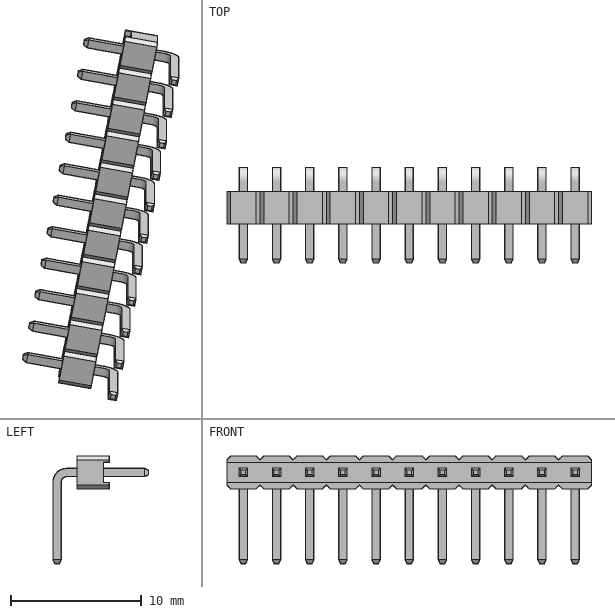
import cadquery as cq

PIN_COUNT = 11
PITCH = 2.54

BLOCK_LENGTH = PIN_COUNT * PITCH
BLOCK_DEPTH = 2.5
BLOCK_HEIGHT = 2.54
BEVEL = 0.3
LIP_HEIGHT = 0.5
CHANNEL_DEPTH = 0.45
CHANNEL_HEIGHT = BLOCK_HEIGHT - 2 * LIP_HEIGHT

OVERALL_DEPTH = 7.33
OVERALL_HEIGHT = 8.27
PIN_SIZE = 0.65
TIP_SIZE = 0.35
TIP_LENGTH = 0.32
BEND_OUTER_RADIUS = 1.08
BACK_REACH = 1.83

BEND_MID_RADIUS = BEND_OUTER_RADIUS - PIN_SIZE / 2
LEG_Y = BLOCK_DEPTH + BACK_REACH - PIN_SIZE / 2
FRONT_TIP_Y = BLOCK_DEPTH + BACK_REACH - OVERALL_DEPTH
BOTTOM_TIP_Z = BLOCK_HEIGHT / 2 - OVERALL_HEIGHT


def make_segment():
    """One pitch of the block: an octagonal bar with all four long edges bevelled."""
    half_width = PITCH / 2
    half_height = BLOCK_HEIGHT / 2
    flat_x = half_width - BEVEL
    side_z = half_height - BEVEL
    outline = [
        (flat_x, half_height),
        (half_width, side_z),
        (half_width, -side_z),
        (flat_x, -half_height),
        (-flat_x, -half_height),
        (-half_width, -side_z),
        (-half_width, side_z),
        (-flat_x, half_height),
    ]
    return cq.Workplane("XZ").polyline(outline).close().extrude(-BLOCK_DEPTH)


def cut_front_channel(block):
    """Cut the shallow channel running the full length of the front face."""
    channel = cq.Workplane("XY").box(
        BLOCK_LENGTH, CHANNEL_DEPTH, CHANNEL_HEIGHT, centered=(True, False, True)
    )
    return block.cut(channel)


def make_tip(base_plane):
    """Square taper that starts full size on base_plane and narrows along its normal."""
    return (
        cq.Workplane(base_plane)
        .rect(PIN_SIZE, PIN_SIZE)
        .workplane(offset=TIP_LENGTH)
        .rect(TIP_SIZE, TIP_SIZE)
        .loft(ruled=True)
    )


def make_pin():
    """Square wire bent down behind the block, with a tapered tip at each end."""
    front_base_y = FRONT_TIP_Y + TIP_LENGTH
    bottom_base_z = BOTTOM_TIP_Z + TIP_LENGTH
    path = (
        cq.Workplane("YZ")
        .moveTo(front_base_y, 0)
        .lineTo(LEG_Y - BEND_MID_RADIUS, 0)
        .tangentArcPoint((LEG_Y, -BEND_MID_RADIUS), relative=False)
        .lineTo(LEG_Y, bottom_base_z)
    )
    front_plane = cq.Plane(origin=(0, front_base_y, 0), xDir=(1, 0, 0), normal=(0, -1, 0))
    bottom_plane = cq.Plane(origin=(0, LEG_Y, bottom_base_z), xDir=(1, 0, 0), normal=(0, 0, -1))
    wire = cq.Workplane(front_plane).rect(PIN_SIZE, PIN_SIZE).sweep(path)
    return wire.union(make_tip(front_plane)).union(make_tip(bottom_plane))


def repeat_along_row(shape):
    """Copy a shape once per pin position and join the copies."""
    first_x = -(PIN_COUNT - 1) * PITCH / 2
    positions = [(first_x + index * PITCH, 0, 0) for index in range(PIN_COUNT)]
    row = cq.Workplane("XY")
    for position in positions:
        row = row.add(shape.translate(position))
    return row.combine()


block = cut_front_channel(repeat_along_row(make_segment()))
result = block.union(repeat_along_row(make_pin()))